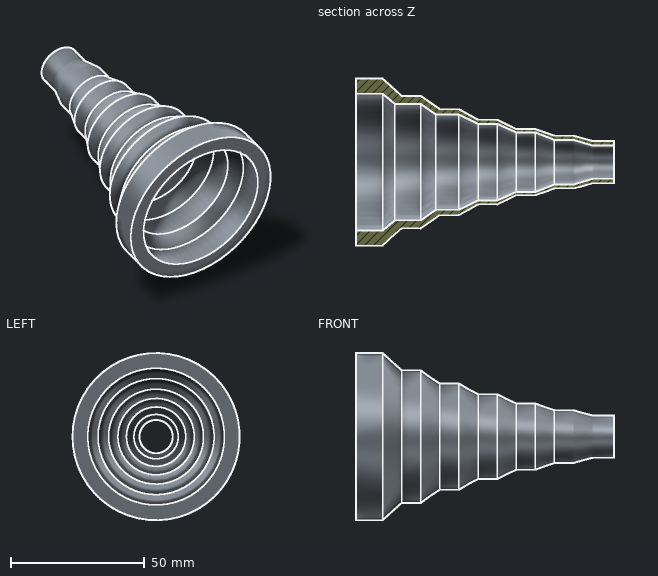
import cadquery as cq

total_length = 97.0
collar_length = 10.0
step_pitch = 14.4
cone_length = step_pitch / 2

outer_diameters = [63.0, 50.0, 40.0, 32.0, 25.0, 20.0, 16.0]
bore_diameters = [51.4, 43.65, 35.7, 28.7, 22.3, 16.7, 12.4]

cone_count = len(outer_diameters) - 1
outer_cone_lengths = [cone_length] * cone_count
short_bore_cone_lengths = [4.7, 5.7]
bore_cone_lengths = short_bore_cone_lengths + [cone_length] * (cone_count - len(short_bore_cone_lengths))


def stepped_solid(diameters, cone_lengths):
    """Revolve straight steps joined by cones; both ends are flat discs."""
    profile = cq.Workplane("XY").lineTo(0, diameters[0] / 2)
    step_end = collar_length
    for cone, (wide, narrow) in zip(cone_lengths, zip(diameters, diameters[1:])):
        profile = profile.lineTo(step_end, wide / 2)
        profile = profile.lineTo(step_end + cone, narrow / 2)
        step_end += step_pitch
    profile = profile.lineTo(total_length, diameters[-1] / 2)
    profile = profile.lineTo(total_length, 0).close()
    return profile.revolve(360, (0, 0, 0), (1, 0, 0))


body = stepped_solid(outer_diameters, outer_cone_lengths)
bore = stepped_solid(bore_diameters, bore_cone_lengths)
result = body.cut(bore)